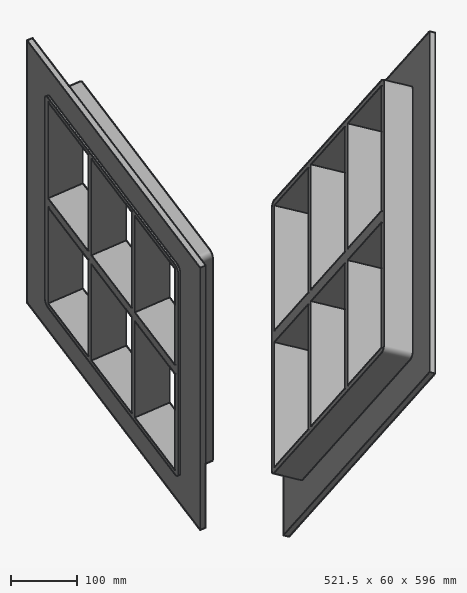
import cadquery as cq

plate_width = 521.5
plate_height = 596
plate_thickness = 9.5

frame_width = 401.0
frame_height = 477
frame_depth = 60.0
frame_wall = 9.5
frame_corner_radius = 9.5
front_projection = 3.5

columns = 3
rows = 2
upright_bar_width = 10.0
cross_bar_height = 20.0

pane_width = (frame_width - 2 * frame_wall - (columns - 1) * upright_bar_width) / columns
pane_height = (frame_height - 2 * frame_wall - (rows - 1) * cross_bar_height) / rows


def block(width, height, depth, front_y):
    """Block centred in X and Z that runs from front_y toward +Y."""
    return cq.Workplane("XY").box(width, depth, height).translate((0, front_y + depth / 2, 0))


plate = block(plate_width, plate_height, plate_thickness, front_projection)
frame = block(frame_width, frame_height, frame_depth, 0).edges("|Y").fillet(frame_corner_radius)

panes = (
    cq.Workplane("XZ")
    .rarray(pane_width + upright_bar_width, pane_height + cross_bar_height, columns, rows)
    .rect(pane_width, pane_height)
    .extrude(-frame_depth)
)

result = plate.union(frame).cut(panes)